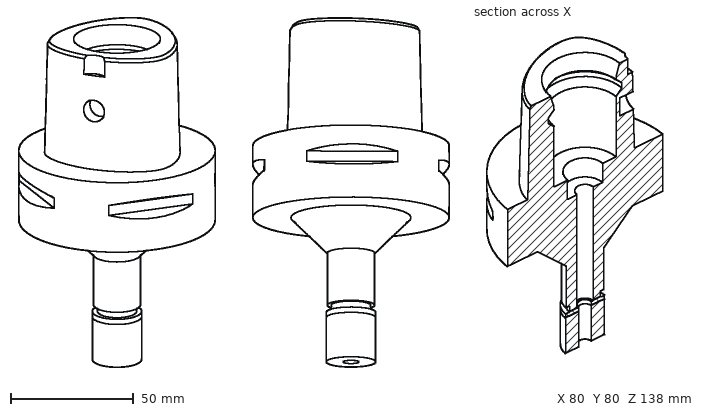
import cadquery as cq
import math

TOTAL_HEIGHT = 138.0
SLEEVE_TOP_Z = 18.5
COLLAR_TOP_Z = 20.7
NECK_TOP_Z = 23.6
CONE_BOTTOM_Z = 45.3
FLANGE_BOTTOM_Z = 60.0
FLANGE_TOP_Z = 90.0

FLANGE_RADIUS = 40.0
CONE_TOP_RADIUS = 24.4
SHANK_RADIUS = 9.7
NECK_RADIUS = 8.0
SLEEVE_RADIUS = 10.1

LOBE_MEAN_RADIUS = 27.6
LOBE_ECCENTRICITY = 2.1
LOBE_POINTS = 60
TAPER_SLOPE = 1 / 40
RIM_CHAMFER_WIDTH = 0.8
RIM_CHAMFER_HEIGHT = 1.4

MOUTH_RADIUS = 17.7
BORE_RADIUS = 15.9
GROOVE_RADIUS = 18.9
MOUTH_DEPTH = 6.2
GROOVE_TOP_DEPTH = 8.0
GROOVE_BOTTOM_DEPTH = 16.5
GROOVE_SIDE = GROOVE_RADIUS - BORE_RADIUS
BORE_DEPTH = TOTAL_HEIGHT - FLANGE_TOP_Z

RECESS_RADIUS = 9.0
RECESS_DEPTH = 10.0
PASSAGE_RADIUS = 4.1
OUTLET_RADIUS = 3.2

NOTCH_RADIUS = 6.0
NOTCH_FLOOR_Z = 130.0
NOTCH_INNER_Y = -22.1
SIDE_HOLE_RADIUS = 4.5
SIDE_HOLE_Z = 115.0
SIDE_HOLE_FLOOR_Y = -18.0

SLOT_COUNT = 4
SLOT_FLOOR_DISTANCE = 35.5
SLOT_FLOOR_HEIGHT = 4.3
SLOT_CENTER_Z = 78.0
SLOT_FLARE = 0.45


def lobe_wire(z, mean_radius):
    """Closed three-lobed outline at height z, with one lobe on +Y."""
    e = LOBE_ECCENTRICITY

    def point(t):
        along = mean_radius * math.cos(t) - 2 * e * math.cos(2 * t) + e * math.cos(4 * t)
        across = mean_radius * math.sin(t) + 2 * e * math.sin(2 * t) + e * math.sin(4 * t)
        return cq.Vector(across, -along, z)

    points = [point(2 * math.pi * i / LOBE_POINTS) for i in range(LOBE_POINTS)]
    return cq.Wire.assembleEdges([cq.Edge.makeSpline(points, periodic=True)])


def lobed_shank():
    chamfer_z = TOTAL_HEIGHT - RIM_CHAMFER_HEIGHT
    chamfer_radius = LOBE_MEAN_RADIUS - TAPER_SLOPE * (chamfer_z - FLANGE_TOP_Z)
    base = lobe_wire(FLANGE_TOP_Z, LOBE_MEAN_RADIUS)
    shoulder = lobe_wire(chamfer_z, chamfer_radius)
    rim = lobe_wire(TOTAL_HEIGHT, chamfer_radius - RIM_CHAMFER_WIDTH)
    return cq.Workplane(cq.Solid.makeLoft([base, shoulder, rim], True))


def revolved(profile):
    """Solid of revolution about Z from (radius, z) points."""
    half_plane = cq.Plane(origin=(0, 0, 0), xDir=(0, -1, 0), normal=(-1, 0, 0))
    return cq.Workplane(half_plane).polyline(profile).close().revolve(360, (0, 0), (0, 1))


def turned_body():
    profile = [
        (0, COLLAR_TOP_Z),
        (NECK_RADIUS, COLLAR_TOP_Z),
        (NECK_RADIUS, NECK_TOP_Z),
        (SHANK_RADIUS, NECK_TOP_Z),
        (SHANK_RADIUS, CONE_BOTTOM_Z),
        (CONE_TOP_RADIUS, FLANGE_BOTTOM_Z),
        (FLANGE_RADIUS, FLANGE_BOTTOM_Z),
        (FLANGE_RADIUS, FLANGE_TOP_Z),
        (0, FLANGE_TOP_Z),
    ]
    return revolved(profile)


def grooved_bore():
    recess_top = TOTAL_HEIGHT - BORE_DEPTH
    recess_floor = recess_top - RECESS_DEPTH
    groove_top = TOTAL_HEIGHT - GROOVE_TOP_DEPTH
    groove_bottom = TOTAL_HEIGHT - GROOVE_BOTTOM_DEPTH
    profile = [
        (0, TOTAL_HEIGHT),
        (MOUTH_RADIUS, TOTAL_HEIGHT),
        (BORE_RADIUS, TOTAL_HEIGHT - MOUTH_DEPTH),
        (BORE_RADIUS, groove_top),
        (GROOVE_RADIUS, groove_top - GROOVE_SIDE),
        (GROOVE_RADIUS, groove_bottom + GROOVE_SIDE),
        (BORE_RADIUS, groove_bottom),
        (BORE_RADIUS, recess_top),
        (RECESS_RADIUS, recess_top),
        (RECESS_RADIUS, recess_floor),
        (PASSAGE_RADIUS, recess_floor),
        (PASSAGE_RADIUS, COLLAR_TOP_Z),
        (0, COLLAR_TOP_Z),
    ]
    return revolved(profile)


def rim_notch():
    return (
        cq.Workplane("XY", origin=(0, NOTCH_INNER_Y - NOTCH_RADIUS, NOTCH_FLOOR_Z))
        .circle(NOTCH_RADIUS)
        .extrude(TOTAL_HEIGHT - NOTCH_FLOOR_Z)
    )


def side_hole():
    return (
        cq.Workplane("XZ", origin=(0, SIDE_HOLE_FLOOR_Y, SIDE_HOLE_Z))
        .circle(SIDE_HOLE_RADIUS)
        .extrude(LOBE_MEAN_RADIUS + SIDE_HOLE_FLOOR_Y)
    )


def gripper_slots():
    """Straight V-sided slots, one on each diagonal of the flange."""
    depth = FLANGE_RADIUS - SLOT_FLOOR_DISTANCE
    floor_half = SLOT_FLOOR_HEIGHT / 2
    mouth_half = floor_half + SLOT_FLARE * depth
    profile = [
        (SLOT_FLOOR_DISTANCE, SLOT_CENTER_Z - floor_half),
        (FLANGE_RADIUS, SLOT_CENTER_Z - mouth_half),
        (FLANGE_RADIUS, SLOT_CENTER_Z + mouth_half),
        (SLOT_FLOOR_DISTANCE, SLOT_CENTER_Z + floor_half),
    ]
    slot = cq.Workplane("XZ").polyline(profile).close().extrude(FLANGE_RADIUS, both=True)
    pitch = 360 / SLOT_COUNT
    slots = cq.Workplane("XY")
    for i in range(SLOT_COUNT):
        slots = slots.add(slot.rotate((0, 0, 0), (0, 0, 1), (i + 0.5) * pitch))
    return slots.combine()


def make_holder():
    holder = turned_body().union(lobed_shank())
    for cutter in (grooved_bore(), rim_notch(), side_hole(), gripper_slots()):
        holder = holder.cut(cutter)
    return holder


def make_ring(bottom_z, top_z):
    """Plain ring around the coolant outlet."""
    profile = [
        (OUTLET_RADIUS, bottom_z),
        (SLEEVE_RADIUS, bottom_z),
        (SLEEVE_RADIUS, top_z),
        (OUTLET_RADIUS, top_z),
    ]
    return revolved(profile)


holder = make_holder()
collar = make_ring(SLEEVE_TOP_Z, COLLAR_TOP_Z)
sleeve = make_ring(0, SLEEVE_TOP_Z)

result = cq.Compound.makeCompound([holder.val(), collar.val(), sleeve.val()])